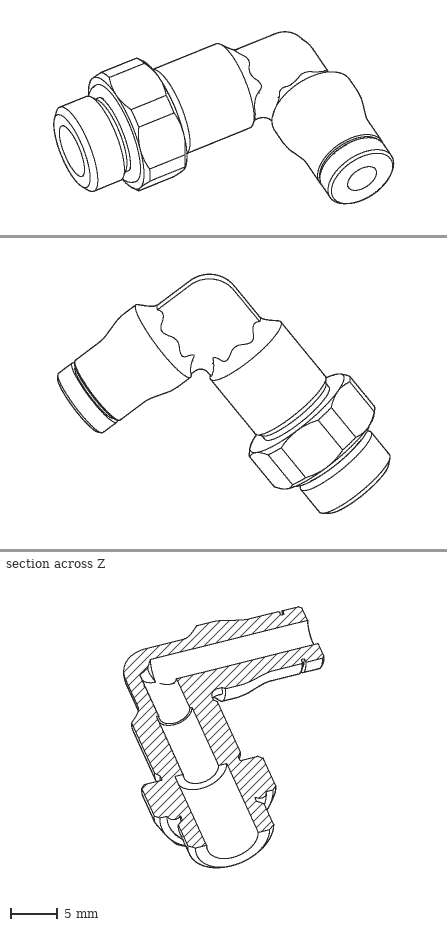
import cadquery as cq
import math

OVERALL_LENGTH = 31.0
OVERALL_WIDTH = 25.0

ELBOW_HALF_HEIGHT = 3.5
ELBOW_TIP_RADIUS = 3.5
ELBOW_SLANT_APOTHEM = 3.38
ELBOW_EDGE_FILLET = 1.05
ELBOW_ARM_LENGTH = 6.2
SLANT_ANGLE = math.radians(60)
BEND_CENTRE = 4.9
BEND_FILLET = 0.78
FOOT_START = 2.73

WEB_CENTRE = 5.58
WEB_END = 4.62
WEB_END_ROUND = 0.95

COLLAR_TIP = (3.97, 3.32)
COLLAR_BREAK = (4.87, 3.63)
COLLAR_MID = (5.25, 3.88)
COLLAR_FLARE = (5.7, 4.28)
BODY_RADIUS = 4.93
SHOULDER = COLLAR_FLARE[0] + BODY_RADIUS - COLLAR_FLARE[1]

BODY_END = 14.2
NECK_RADIUS = 4.5
NECK_CHAMFER_LENGTH = 0.55
NECK_START = BODY_END + NECK_CHAMFER_LENGTH
NUT_START = 15.38
NUT_LENGTH = 5.27
NUT_ACROSS_FLATS = 13.0
NUT_HALF_FLATS = NUT_ACROSS_FLATS / 2
NUT_SIDES = 6
NUT_CORNER_RADIUS = 6.98
NUT_CHAMFER = NUT_CORNER_RADIUS - NUT_HALF_FLATS
NUT_END = NUT_START + NUT_LENGTH
SEAL_RADIUS = 5.67
SEAL_THICKNESS = 0.75
SEAL_END = NUT_END + SEAL_THICKNESS
UNDERCUT_RADIUS = 4.28
UNDERCUT_CLEARANCE = 0.2
UNDERCUT_END = SEAL_END + UNDERCUT_CLEARANCE
THREAD_START = UNDERCUT_END + BODY_RADIUS - UNDERCUT_RADIUS
THREAD_CHAMFER_RADIUS = 4.25
THREAD_CHAMFER_LENGTH = 0.6
STEM_END = OVERALL_LENGTH - BODY_RADIUS

SOCKET_BODY_END = 8.15
TAPER_START = 9.3
TAPER_END = 10.97
TAPER_ANGLE = math.radians(18)
SLEEVE_START = 12.1
SLEEVE_RADIUS = 4.05
SLEEVE_END = 15.53
SLEEVE_CHAMFER = 0.15
GROOVE_RADIUS = 3.47
GROOVE_WIDTH = 0.3
RING_RADIUS = 4.03
RING_START = SLEEVE_END + GROOVE_WIDTH
RING_CHAMFER = 0.28
SOCKET_END = OVERALL_WIDTH - NUT_CORNER_RADIUS

BORE_RADIUS = 1.77
STEP_BORE_RADIUS = 2.0
STEM_BORE_RADIUS = 2.95
DRILL_POINT_ANGLE = math.radians(118)
DRILL_TIP_LENGTH = BORE_RADIUS / math.tan(DRILL_POINT_ANGLE / 2)


def start_collar():
    """Start a half profile of (distance along axis, radius) with the concave flare."""
    return (
        cq.Workplane("XY")
        .moveTo(COLLAR_TIP[0], 0)
        .lineTo(*COLLAR_TIP)
        .lineTo(*COLLAR_BREAK)
        .threePointArc(COLLAR_MID, COLLAR_FLARE)
        .lineTo(SHOULDER, BODY_RADIUS)
    )


def spin(profile):
    """Close a half profile and turn it about the X axis."""
    return profile.close().revolve(360, (0, 0, 0), (1, 0, 0))


def onto_stem(solid):
    """Turn a solid built along +X onto the stem axis, along -Y."""
    return solid.rotate((0, 0, 0), (0, 0, 1), -90)


def make_stem():
    seal_crest_radius = SEAL_RADIUS - SEAL_THICKNESS
    seal_inner_end = NUT_END + math.sqrt(SEAL_THICKNESS**2 - (seal_crest_radius - UNDERCUT_RADIUS) ** 2)
    profile = (
        start_collar()
        .lineTo(BODY_END, BODY_RADIUS)
        .lineTo(NECK_START, NECK_RADIUS)
        .lineTo(NUT_END, NECK_RADIUS)
        .lineTo(NUT_END, SEAL_RADIUS)
        .threePointArc((SEAL_END, seal_crest_radius), (seal_inner_end, UNDERCUT_RADIUS))
        .lineTo(UNDERCUT_END, UNDERCUT_RADIUS)
        .lineTo(THREAD_START, BODY_RADIUS)
        .lineTo(STEM_END - THREAD_CHAMFER_LENGTH, BODY_RADIUS)
        .lineTo(STEM_END, THREAD_CHAMFER_RADIUS)
        .lineTo(STEM_END, 0)
    )
    return onto_stem(spin(profile))


def make_nut():
    corner_distance = NUT_HALF_FLATS / math.cos(math.pi / NUT_SIDES)
    corner_angles = [2 * math.pi * index / NUT_SIDES for index in range(NUT_SIDES)]
    corners = [(corner_distance * math.cos(a), corner_distance * math.sin(a)) for a in corner_angles]
    hexagon = (
        cq.Workplane("XZ", origin=(0, -NUT_START, 0))
        .polyline(corners)
        .close()
        .extrude(NUT_LENGTH)
    )
    rounding = (
        cq.Workplane("XZ", origin=(0, -NUT_START, 0))
        .circle(NUT_CORNER_RADIUS)
        .extrude(NUT_LENGTH)
        .edges()
        .chamfer(NUT_CHAMFER)
    )
    return hexagon.intersect(rounding)


def make_socket():
    convex_drop = (TAPER_START - SOCKET_BODY_END) * math.tan(TAPER_ANGLE / 2)
    concave_drop = (SLEEVE_START - TAPER_END) * math.tan(TAPER_ANGLE / 2)
    profile = (
        start_collar()
        .lineTo(SOCKET_BODY_END, BODY_RADIUS)
        .tangentArcPoint((TAPER_START, BODY_RADIUS - convex_drop), relative=False)
        .lineTo(TAPER_END, SLEEVE_RADIUS + concave_drop)
        .tangentArcPoint((SLEEVE_START, SLEEVE_RADIUS), relative=False)
        .lineTo(SLEEVE_END - SLEEVE_CHAMFER, SLEEVE_RADIUS)
        .lineTo(SLEEVE_END, SLEEVE_RADIUS - SLEEVE_CHAMFER)
        .lineTo(SLEEVE_END, GROOVE_RADIUS)
        .lineTo(RING_START, GROOVE_RADIUS)
        .lineTo(RING_START, RING_RADIUS)
        .lineTo(SOCKET_END - RING_CHAMFER, RING_RADIUS)
        .lineTo(SOCKET_END, RING_RADIUS - RING_CHAMFER)
        .lineTo(SOCKET_END, 0)
    )
    return spin(profile)


slant_corner = (ELBOW_SLANT_APOTHEM - ELBOW_HALF_HEIGHT * math.cos(SLANT_ANGLE)) / math.sin(SLANT_ANGLE)
edge_setback = ELBOW_EDGE_FILLET * math.tan(SLANT_ANGLE / 2)
top_tangent = slant_corner - edge_setback
slant_tangent = slant_corner + edge_setback * math.cos(SLANT_ANGLE)
slant_tangent_height = ELBOW_HALF_HEIGHT - edge_setback * math.sin(SLANT_ANGLE)
tip_angle = math.pi / 2 - SLANT_ANGLE - math.acos(ELBOW_SLANT_APOTHEM / ELBOW_TIP_RADIUS)
tip_x = ELBOW_TIP_RADIUS * math.cos(tip_angle)
tip_z = ELBOW_TIP_RADIUS * math.sin(tip_angle)

foot_start_height = (ELBOW_SLANT_APOTHEM - FOOT_START * math.sin(SLANT_ANGLE)) / math.cos(SLANT_ANGLE)
foot_end = FOOT_START + BEND_FILLET * math.sin(SLANT_ANGLE)
web_half_height = foot_start_height - BEND_FILLET * (1 - math.cos(SLANT_ANGLE))


def outer_half_section():
    """Half of the hexagonal section, on the outer (-X) side of the arm axis."""
    return (
        cq.Workplane("XZ")
        .moveTo(0, -ELBOW_HALF_HEIGHT)
        .lineTo(-top_tangent, -ELBOW_HALF_HEIGHT)
        .radiusArc((-slant_tangent, -slant_tangent_height), ELBOW_EDGE_FILLET)
        .lineTo(-tip_x, -tip_z)
        .threePointArc((-ELBOW_TIP_RADIUS, 0), (-tip_x, tip_z))
        .lineTo(-slant_tangent, slant_tangent_height)
        .radiusArc((-top_tangent, ELBOW_HALF_HEIGHT), ELBOW_EDGE_FILLET)
        .lineTo(0, ELBOW_HALF_HEIGHT)
        .close()
    )


def inner_bend_section():
    """Flat top and inner side of the section at the bend, flaring out onto the web."""
    return (
        cq.Workplane("XZ", origin=(0, -BEND_CENTRE, 0))
        .moveTo(-top_tangent, -ELBOW_HALF_HEIGHT)
        .lineTo(top_tangent, -ELBOW_HALF_HEIGHT)
        .radiusArc((slant_tangent, -slant_tangent_height), -ELBOW_EDGE_FILLET)
        .lineTo(FOOT_START, -foot_start_height)
        .radiusArc((foot_end, -web_half_height), BEND_FILLET)
        .lineTo(foot_end, web_half_height)
        .radiusArc((FOOT_START, foot_start_height), BEND_FILLET)
        .lineTo(slant_tangent, slant_tangent_height)
        .radiusArc((top_tangent, ELBOW_HALF_HEIGHT), -ELBOW_EDGE_FILLET)
        .lineTo(-top_tangent, ELBOW_HALF_HEIGHT)
        .close()
    )


def web_section():
    """Web section, with both corners of its inner end rounded."""
    round_start = WEB_END - WEB_END_ROUND
    end_flat = web_half_height - WEB_END_ROUND
    return (
        cq.Workplane("XZ", origin=(0, -WEB_CENTRE, 0))
        .moveTo(0, -web_half_height)
        .lineTo(round_start, -web_half_height)
        .radiusArc((WEB_END, -end_flat), -WEB_END_ROUND)
        .lineTo(WEB_END, end_flat)
        .radiusArc((round_start, web_half_height), -WEB_END_ROUND)
        .lineTo(0, web_half_height)
        .close()
    )


def turn_corner(section, centre):
    """Sweep a section a quarter turn, from the stem direction to the socket direction."""
    return section.revolve(90, (centre, 0.3, 0), (centre, 0, 0))


def both_arms(solid):
    """A stem-side solid together with its mirror image on the socket side."""
    socket_side = solid.mirror("XZ").rotate((0, 0, 0), (0, 0, 1), -90)
    return solid.union(socket_side)


def make_elbow():
    half_arm = outer_half_section().extrude(ELBOW_ARM_LENGTH)
    arm = half_arm.union(half_arm.mirror("YZ"))
    web_foot = web_section().extrude(SHOULDER - WEB_CENTRE)
    return (
        both_arms(arm)
        .union(turn_corner(outer_half_section(), 0))
        .union(turn_corner(inner_bend_section(), BEND_CENTRE))
        .union(turn_corner(web_section(), WEB_CENTRE))
        .union(both_arms(web_foot))
    )


def make_bore(end):
    """Drilled hole along +X, its conical tip starting at the axis crossing."""
    profile = (
        cq.Workplane("XY")
        .moveTo(-DRILL_TIP_LENGTH, 0)
        .lineTo(0, BORE_RADIUS)
        .lineTo(end, BORE_RADIUS)
        .lineTo(end, 0)
    )
    return spin(profile)


def make_counterbore(start, radius):
    """Wider length of the stem bore, from a distance along the stem to its open end."""
    return cq.Workplane("XZ", origin=(0, -start, 0)).circle(radius).extrude(STEM_END - start)


result = (
    make_stem()
    .union(make_nut())
    .union(make_socket())
    .union(make_elbow())
    .cut(make_bore(SOCKET_END))
    .cut(onto_stem(make_bore(STEM_END)))
    .cut(make_counterbore(SHOULDER, STEP_BORE_RADIUS))
    .cut(make_counterbore(NUT_START, STEM_BORE_RADIUS))
)